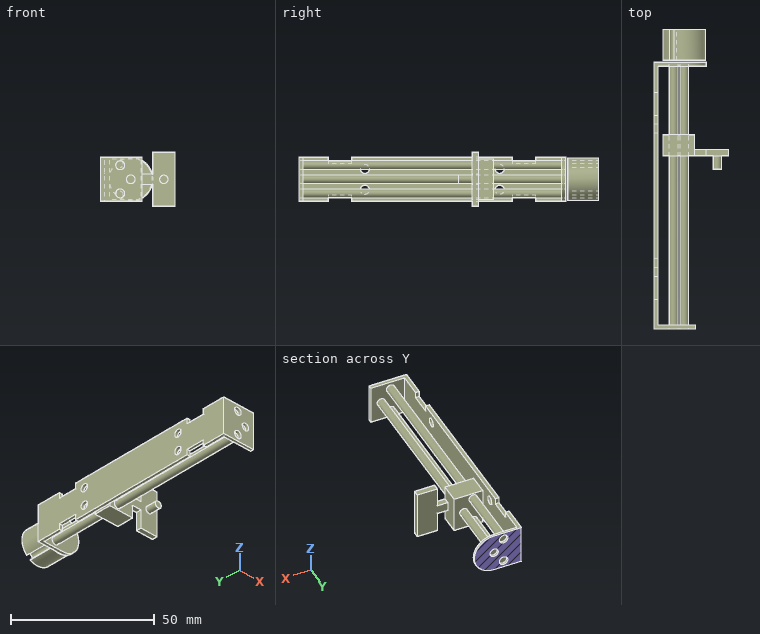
import cadquery as cq
import math

TOTAL_LENGTH = 104.3

BRACKET_LENGTH = 92.9
BRACKET_HEIGHT = 15.4
SHEET = 1.5
FRONT_PLATE_DEPTH = 14.5
NOTCH_LENGTH = 8.0
NOTCH_DEPTH = 2.3
NOTCH_CENTERS_Y = (14.3, 78.3)
MOUNT_HOLE_DIAMETER = 3.1
MOUNT_HOLE_Z = 3.6
MOUNT_HOLES_Y = (22.9, 69.9)

ROD_DIAMETER = 3.1
ROD_X = 6.9
ROD_Z = 4.9
SCREW_DIAMETER = 3.0
SCREW_X = 10.5
SHAFT_START = SHEET
SHAFT_LENGTH = BRACKET_LENGTH - 2 * SHEET

MOTOR_DIAMETER = 14.9
MOTOR_LENGTH = 10.7
GROOVE_DIAMETER = 2.5
GROOVE_RADIUS_FROM_AXIS = 6.6
GROOVE_ANGLE = 126.0

BLOCK_START_X = 3.1
BLOCK_END_X = 14.2
BLOCK_FRONT_Y = 60.3
BLOCK_LENGTH = 7.4
BLOCK_HEIGHT = 14.2
ARM_THICKNESS = 2.3
NECK_HEIGHT = 3.5
CROSS_START_X = 18.1
CROSS_END_X = 26.0
CROSS_HEIGHT = 18.9
PIN_DIAMETER = 2.9
PIN_LENGTH = 4.7


def box(x_start, x_end, y_start, y_length, height):
    """Box centred on Z = 0."""
    block = cq.Workplane("XY").box(x_end - x_start, y_length, height, centered=(False, False, True))
    return block.translate((x_start, y_start, 0))


def rod_along_y(x, z, diameter, y_start, length):
    """Cylinder parallel to Y, growing towards +Y from y_start."""
    return cq.Workplane("XZ", origin=(x, y_start, z)).circle(diameter / 2).extrude(-length)


def cut_shaft_holes(body):
    """Bore the two rod holes and the screw hole through the full length of a body."""
    for z in (-ROD_Z, ROD_Z):
        body = body.cut(rod_along_y(ROD_X, z, ROD_DIAMETER, 0, BRACKET_LENGTH))
    return body.cut(rod_along_y(SCREW_X, 0, SCREW_DIAMETER, 0, BRACKET_LENGTH))


def make_bracket():
    rear_plate_y = BRACKET_LENGTH - SHEET
    bracket = box(0, SHEET, 0, BRACKET_LENGTH, BRACKET_HEIGHT)
    bracket = bracket.union(box(0, FRONT_PLATE_DEPTH, 0, SHEET, BRACKET_HEIGHT))
    bracket = bracket.union(box(0, SCREW_X, rear_plate_y, SHEET, BRACKET_HEIGHT))
    bracket = bracket.union(rod_along_y(SCREW_X, 0, BRACKET_HEIGHT, rear_plate_y, SHEET))

    for y in NOTCH_CENTERS_Y:
        for side in (-1, 1):
            notch = cq.Workplane("XY").box(2 * SHEET, NOTCH_LENGTH, 2 * NOTCH_DEPTH)
            bracket = bracket.cut(notch.translate((0, y, side * BRACKET_HEIGHT / 2)))

    mount_points = [(y, z) for y in MOUNT_HOLES_Y for z in (-MOUNT_HOLE_Z, MOUNT_HOLE_Z)]
    mount_holes = cq.Workplane("YZ").pushPoints(mount_points).circle(MOUNT_HOLE_DIAMETER / 2).extrude(SHEET)
    return cut_shaft_holes(bracket.cut(mount_holes))


def make_guide_rod(z):
    return rod_along_y(ROD_X, z, ROD_DIAMETER, SHAFT_START, SHAFT_LENGTH)


def make_lead_screw():
    return rod_along_y(SCREW_X, 0, SCREW_DIAMETER, SHAFT_START, SHAFT_LENGTH)


def make_motor():
    motor_start = TOTAL_LENGTH - MOTOR_LENGTH
    motor = rod_along_y(SCREW_X, 0, MOTOR_DIAMETER, motor_start, MOTOR_LENGTH)
    groove_x = SCREW_X + GROOVE_RADIUS_FROM_AXIS * math.cos(math.radians(GROOVE_ANGLE))
    groove_z = GROOVE_RADIUS_FROM_AXIS * math.sin(math.radians(GROOVE_ANGLE))
    for z in (-groove_z, groove_z):
        motor = motor.cut(rod_along_y(groove_x, z, GROOVE_DIAMETER, motor_start, MOTOR_LENGTH))
    return motor


def make_slider():
    slider = box(BLOCK_START_X, BLOCK_END_X, BLOCK_FRONT_Y, BLOCK_LENGTH, BLOCK_HEIGHT)
    slider = slider.union(box(BLOCK_END_X, CROSS_START_X, BLOCK_FRONT_Y, ARM_THICKNESS, NECK_HEIGHT))
    slider = slider.union(box(CROSS_START_X, CROSS_END_X, BLOCK_FRONT_Y, ARM_THICKNESS, CROSS_HEIGHT))
    pin_x = (CROSS_START_X + CROSS_END_X) / 2
    slider = slider.union(rod_along_y(pin_x, 0, PIN_DIAMETER, BLOCK_FRONT_Y - PIN_LENGTH, PIN_LENGTH))
    return cut_shaft_holes(slider)


bracket = make_bracket()
guide_rods = [make_guide_rod(z) for z in (-ROD_Z, ROD_Z)]
lead_screw = make_lead_screw()
motor = make_motor()
slider = make_slider()

result = cq.Compound.makeCompound(
    [bracket.val(), *[rod.val() for rod in guide_rods], lead_screw.val(), motor.val(), slider.val()]
)